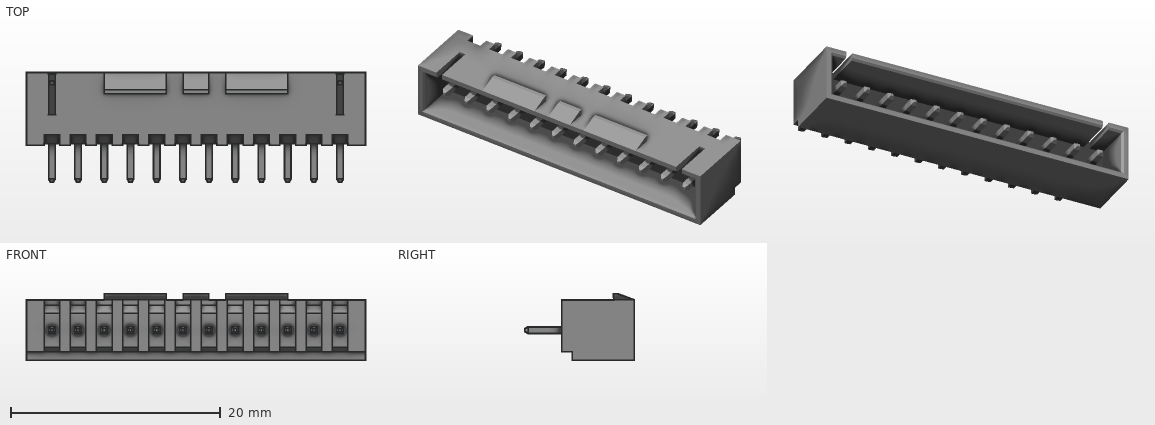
import cadquery as cq


body_length = 32.4
body_depth = 6.95
body_height = 5.77
wall = 0.7
cavity_depth = 4.02
mouth_chamfer = 0.2
step_depth = 1.0
step_height = 0.8

pin_count = 12
pin_span = 27.5
pin_width = 0.65
pin_tail = 3.53
pin_tip_recess = 0.8
pin_taper = 0.35
pin_tip_width = 0.25

recess_width = 1.5
recess_depth = step_depth
pad_recess = 0.15
pad_half_height = 1.62
pad_slope_height = 0.78

latch_height = 0.6
latch_depth = 2.05
latch_flat = 0.4
latch_undercut = 0.05
center_latch_length = 2.45
side_latch_length = 5.95
side_latch_center = 5.8

slot_width = pin_width

top = body_height / 2
bottom = -top
cavity_length = body_length - 2 * wall
cavity_height = body_height - 2 * wall
pin_pitch = pin_span / (pin_count - 1)
pin_places = [(i - (pin_count - 1) / 2) * pin_pitch for i in range(pin_count)]


def extrude_along_x(points, length, center):
    """Extrude a (Y, Z) outline along X, centred on the given X."""
    start = center - length / 2
    return cq.Workplane("YZ", origin=(start, 0, 0)).polyline(points).close().extrude(length)


def box(length, depth, height, x, y, z):
    """Box centred on x, starting at y and z."""
    return cq.Workplane("XY").box(length, depth, height, centered=(True, False, False)).translate((x, y, z))


def make_shroud():
    """Block with a stepped lower edge and a chamfered cavity open to +Y."""
    block = box(body_length, body_depth, body_height, 0, 0, bottom)
    step = box(body_length, step_depth, step_height, 0, 0, bottom)
    cavity = box(cavity_length, cavity_depth, cavity_height, 0, body_depth - cavity_depth, -cavity_height / 2)
    mouth = (
        cq.Workplane("XZ", origin=(0, body_depth, 0))
        .rect(cavity_length + 2 * mouth_chamfer, cavity_height + 2 * mouth_chamfer)
        .workplane(offset=mouth_chamfer)
        .rect(cavity_length, cavity_height)
        .loft(ruled=True)
    )
    return block.cut(step).cut(cavity).cut(mouth)


def make_recess(x):
    """Full-height recess that leaves a raised pad with sloped ends behind the pin."""
    pad_end = pad_half_height + pad_slope_height
    outline = [
        (0, top),
        (recess_depth, top),
        (recess_depth, pad_end),
        (pad_recess, pad_half_height),
        (pad_recess, -pad_half_height),
        (recess_depth, -pad_end),
        (recess_depth, bottom),
        (0, bottom),
    ]
    return extrude_along_x(outline, recess_width, x)


def make_latch(length, x):
    """Ridge that ramps up from the mouth to a flat crest with an undercut face."""
    front = body_depth - latch_depth
    crest = top + latch_height
    outline = [
        (body_depth, top),
        (front + latch_flat, crest),
        (front, crest),
        (front + latch_undercut, top),
    ]
    return extrude_along_x(outline, length, x)


def make_pin(x):
    """Square pin through the cavity floor, tapered at both ends."""
    tail_end = -pin_tail
    tip_end = body_depth - pin_tip_recess
    shaft_length = tip_end - tail_end - 2 * pin_taper
    shaft = box(pin_width, shaft_length, pin_width, x, tail_end + pin_taper, -pin_width / 2)
    return shaft.union(make_taper(x, tail_end, 1)).union(make_taper(x, tip_end, -1))


def make_taper(x, end, direction):
    """Pin end that widens from its tip at Y = end; direction is +1 or -1 along Y."""
    return (
        cq.Workplane("XZ", origin=(x, end, 0))
        .rect(pin_tip_width, pin_tip_width)
        .workplane(offset=-direction * pin_taper)
        .rect(pin_width, pin_width)
        .loft(ruled=True)
    )


result = make_shroud()

for place in (pin_places[0], pin_places[-1]):
    result = result.cut(box(slot_width, cavity_depth, top, place, body_depth - cavity_depth, 0))

for place in pin_places:
    result = result.cut(make_recess(place))

result = result.union(make_latch(center_latch_length, 0))
for place in (-side_latch_center, side_latch_center):
    result = result.union(make_latch(side_latch_length, place))

for place in pin_places:
    result = result.union(make_pin(place))